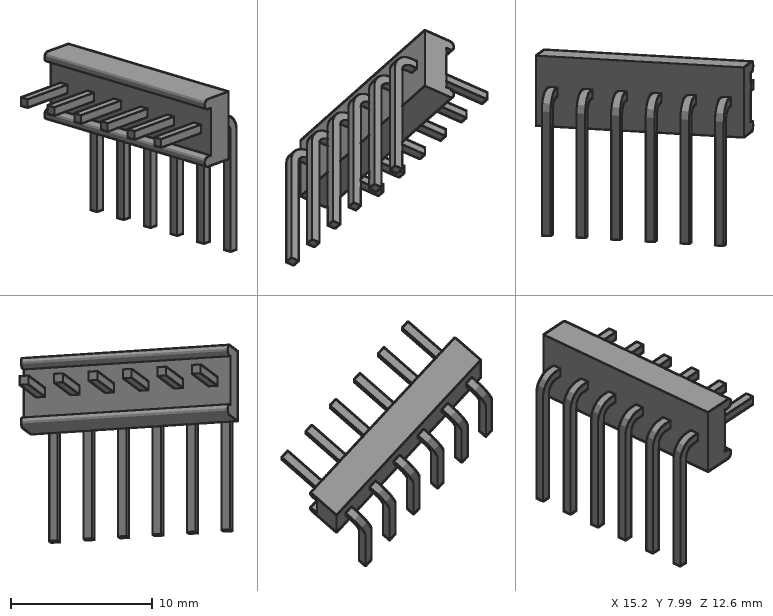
import cadquery as cq

length = 15.24
pin_count = 6
pitch = length / pin_count
housing_height = 5.07
wall_depth = 1.87
total_depth = 2.53
lip_height = 0.76
lip_nose_radius = lip_height / 2

pin_side = 0.64
pin_height = 2.55
pin_front_reach = 3.55
pin_depth = 7.99
total_height = 12.57
bend_outer_radius = 1.4
bend_inner_radius = bend_outer_radius - pin_side

wall_front = -wall_depth
lip_front = -total_depth
pin_front = lip_front - pin_front_reach
pin_rear = pin_front + pin_depth
pin_bottom = housing_height - total_height


def make_housing():
    """Extrude the C-shaped section along X, centred on X = 0."""
    nose_start = lip_front + lip_nose_radius
    upper_lip_base = housing_height - lip_height
    profile = (
        cq.Workplane("YZ", origin=(-length / 2, 0, 0))
        .moveTo(0, 0)
        .lineTo(nose_start, 0)
        .threePointArc((lip_front, lip_nose_radius), (nose_start, lip_height))
        .lineTo(wall_front, lip_height)
        .lineTo(wall_front, upper_lip_base)
        .lineTo(nose_start, upper_lip_base)
        .threePointArc((lip_front, housing_height - lip_nose_radius), (nose_start, housing_height))
        .lineTo(0, housing_height)
        .close()
    )
    return profile.extrude(length)


def make_pin(x):
    """Make one right-angle pin centred at the given X."""
    run_bottom = pin_height - pin_side / 2
    run_top = pin_height + pin_side / 2
    bend_y = pin_rear - bend_outer_radius
    bend_z = run_top - bend_outer_radius
    return (
        cq.Workplane("YZ", origin=(x - pin_side / 2, 0, 0))
        .moveTo(pin_front, run_bottom)
        .lineTo(bend_y, run_bottom)
        .radiusArc((pin_rear - pin_side, bend_z), bend_inner_radius)
        .lineTo(pin_rear - pin_side, pin_bottom)
        .lineTo(pin_rear, pin_bottom)
        .lineTo(pin_rear, bend_z)
        .radiusArc((bend_y, run_top), -bend_outer_radius)
        .lineTo(pin_front, run_top)
        .close()
        .extrude(pin_side)
    )


result = make_housing()
for index in range(pin_count):
    result = result.union(make_pin((index - (pin_count - 1) / 2) * pitch))